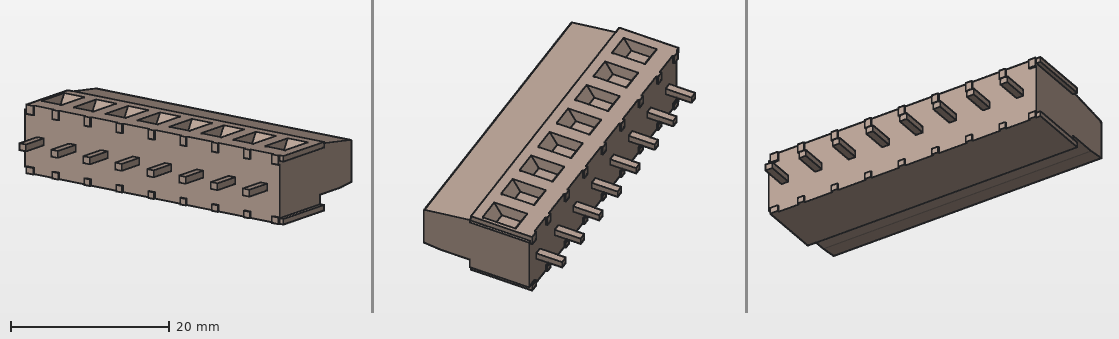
import cadquery as cq


POLE_COUNT = 8
POLE_PITCH = 5.08
FIRST_POLE_X = 2.45

TOTAL_LENGTH = 41.15
HOUSING_LENGTH = 40.52
HOUSING_HEIGHT = 9.0
HOUSING_DEPTH = 15.0
TOP_Z = HOUSING_HEIGHT / 2
BOTTOM_Z = -TOP_Z

RAIL_START_X = 0.35
RAIL_DEPTH = 8.47
RAIL_THICKNESS = 0.75
RAIL_LENGTH = TOTAL_LENGTH - RAIL_START_X

ROOF_DROP_AT_RAIL = 0.33
ROOF_DROP_AT_BACK = 1.25
ROOF_EDGE_CHAMFER = 0.12
BELLY_RISE = 1.97
BELLY_RISE_AT_BACK = 2.22
BELLY_SLOPE_DEPTH = 2.45

PIN_WIDTH = 1.03
PIN_HEIGHT = 0.9
PIN_LENGTH = 3.7

PAD_PROJECTION = 0.25
PAD_WIDTH = 0.9
LEFT_PAD_WIDTH = 1.15
RIGHT_PAD_WIDTH = 1.03
TOP_PAD_HEIGHT = 1.25
BOTTOM_PAD_HEIGHT = 0.85

POCKET_WIDTH = 3.2
POCKET_FRONT_Y = 2.35
POCKET_BACK_Y = 7.08
POCKET_DEPTH = 1.45
FLOOR_WIDTH = 2.67
FLOOR_FRONT_Y = 3.15
FLOOR_BACK_Y = 5.85


def box(x_start, y_start, z_start, length, depth, height):
    """Box grown from its lowest corner."""
    corner = (x_start, y_start, z_start)
    return cq.Workplane("XY").box(length, depth, height, centered=False).translate(corner)


def pole_x(index):
    return FIRST_POLE_X + index * POLE_PITCH


def make_housing():
    """Side profile, without the rails, extruded along the row of poles."""
    step_top = TOP_Z - RAIL_THICKNESS
    step_bottom = BOTTOM_Z + RAIL_THICKNESS
    profile = [
        (0, step_bottom),
        (RAIL_DEPTH, step_bottom),
        (RAIL_DEPTH, BOTTOM_Z + BELLY_RISE),
        (HOUSING_DEPTH - BELLY_SLOPE_DEPTH, BOTTOM_Z + BELLY_RISE),
        (HOUSING_DEPTH, BOTTOM_Z + BELLY_RISE_AT_BACK),
        (HOUSING_DEPTH, TOP_Z - ROOF_DROP_AT_BACK - ROOF_EDGE_CHAMFER),
        (HOUSING_DEPTH - ROOF_EDGE_CHAMFER, TOP_Z - ROOF_DROP_AT_BACK),
        (RAIL_DEPTH, TOP_Z - ROOF_DROP_AT_RAIL),
        (RAIL_DEPTH, step_top),
        (0, step_top),
    ]
    return cq.Workplane("YZ").polyline(profile).close().extrude(HOUSING_LENGTH)


def make_rail(z_start):
    return box(RAIL_START_X, 0, z_start, RAIL_LENGTH, RAIL_DEPTH, RAIL_THICKNESS)


def make_pin(center_x):
    return box(center_x - PIN_WIDTH / 2, -PIN_LENGTH, -PIN_HEIGHT / 2, PIN_WIDTH, PIN_LENGTH, PIN_HEIGHT)


def make_pad_pair(x_start, width):
    """One pad at the top edge and one at the bottom edge of the pin face."""
    top_pad = box(x_start, -PAD_PROJECTION, TOP_Z - TOP_PAD_HEIGHT, width, PAD_PROJECTION, TOP_PAD_HEIGHT)
    bottom_pad = box(x_start, -PAD_PROJECTION, BOTTOM_Z, width, PAD_PROJECTION, BOTTOM_PAD_HEIGHT)
    return top_pad.union(bottom_pad)


def make_pocket(center_x):
    """Pocket cutter that narrows from the top face to its floor."""
    floor_middle_y = (FLOOR_FRONT_Y + FLOOR_BACK_Y) / 2
    mouth_middle_y = (POCKET_FRONT_Y + POCKET_BACK_Y) / 2
    return (
        cq.Workplane("XY", origin=(center_x, floor_middle_y, TOP_Z - POCKET_DEPTH))
        .rect(FLOOR_WIDTH, FLOOR_BACK_Y - FLOOR_FRONT_Y)
        .workplane(offset=POCKET_DEPTH)
        .center(0, mouth_middle_y - floor_middle_y)
        .rect(POCKET_WIDTH, POCKET_BACK_Y - POCKET_FRONT_Y)
        .loft(ruled=True)
    )


result = make_housing()
result = result.union(make_rail(TOP_Z - RAIL_THICKNESS))
result = result.union(make_rail(BOTTOM_Z))

result = result.union(make_pad_pair(RAIL_START_X, LEFT_PAD_WIDTH))
result = result.union(make_pad_pair(HOUSING_LENGTH - RIGHT_PAD_WIDTH, RIGHT_PAD_WIDTH))
for gap in range(POLE_COUNT - 1):
    gap_middle_x = pole_x(gap) + POLE_PITCH / 2
    result = result.union(make_pad_pair(gap_middle_x - PAD_WIDTH / 2, PAD_WIDTH))

for pole in range(POLE_COUNT):
    result = result.union(make_pin(pole_x(pole)))
    result = result.cut(make_pocket(pole_x(pole)))